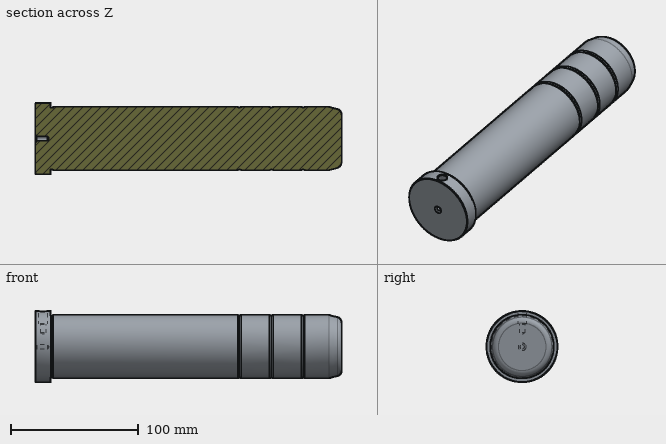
import cadquery as cq
import math

length = 240.0
head_diameter = 56.0
head_thickness = 12.0
body_diameter = 50.0
head_radius = head_diameter / 2
body_radius = body_diameter / 2
head_chamfer = 0.5

relief_width = 2.2
relief_depth = 0.7

groove_width = 3.0
groove_depth = 0.7
groove_pitch = 25.0
groove_count = 3
first_groove_x = 159.8

taper_start = 230.0
taper_angle = 15.0
nose_radius = 4.8

center_hole_diameter = 3.4
center_hole_mouth = 6.0
center_hole_depth = 9.5

rim_hole_diameter = 7.0
rim_hole_mouth = 8.5
rim_hole_depth = 9.5
rim_bore_diameter = 4.3
rim_bore_depth = 16.8
drill_point_angle = 118.0


def turned_body():
    """Revolve the outer profile, drawn as (x, radius) points."""
    relief_end = head_thickness + relief_width
    relief_floor_end = relief_end - relief_depth
    relief_radius = body_radius - relief_depth
    tip_radius = body_radius - (length - taper_start) * math.tan(math.radians(taper_angle))
    profile = (
        cq.Workplane("XY")
        .lineTo(0, head_radius - head_chamfer)
        .lineTo(head_chamfer, head_radius)
        .lineTo(head_thickness, head_radius)
        .lineTo(head_thickness, relief_radius)
        .lineTo(relief_floor_end, relief_radius)
        .lineTo(relief_end, body_radius)
        .lineTo(taper_start, body_radius)
        .lineTo(length, tip_radius)
        .lineTo(length, 0)
        .close()
    )
    body = profile.revolve(360, (0, 0, 0), (1, 0, 0))
    return body.faces(">X").edges().fillet(nose_radius)


def ring_groove(center_x):
    """V-shaped ring around the body."""
    half_width = groove_width / 2
    outer_half_width = 2 * half_width
    outer_radius = body_radius + groove_depth
    return (
        cq.Workplane("XY")
        .moveTo(center_x - outer_half_width, outer_radius)
        .lineTo(center_x, body_radius - groove_depth)
        .lineTo(center_x + outer_half_width, outer_radius)
        .close()
        .revolve(360, (0, 0, 0), (1, 0, 0))
    )


def drilled_hole(diameter, mouth_diameter, depth):
    """Hole starting at the origin along +X, with a 45 degree mouth and a drill point."""
    radius = diameter / 2
    mouth_radius = mouth_diameter / 2
    point_length = radius / math.tan(math.radians(drill_point_angle / 2))
    return (
        cq.Workplane("XY")
        .lineTo(0, mouth_radius)
        .lineTo(mouth_radius - radius, radius)
        .lineTo(depth, radius)
        .lineTo(depth + point_length, 0)
        .close()
        .revolve(360, (0, 0, 0), (1, 0, 0))
    )


result = turned_body()

for index in range(groove_count):
    result = result.cut(ring_groove(first_groove_x + index * groove_pitch))

result = result.cut(drilled_hole(center_hole_diameter, center_hole_mouth, center_hole_depth))

rim_hole = (
    drilled_hole(rim_hole_diameter, rim_hole_mouth, rim_hole_depth)
    .union(drilled_hole(rim_bore_diameter, rim_hole_diameter, rim_bore_depth))
    .rotate((0, 0, 0), (0, 1, 0), 90)
    .translate((head_thickness / 2, 0, head_radius))
)
result = result.cut(rim_hole)